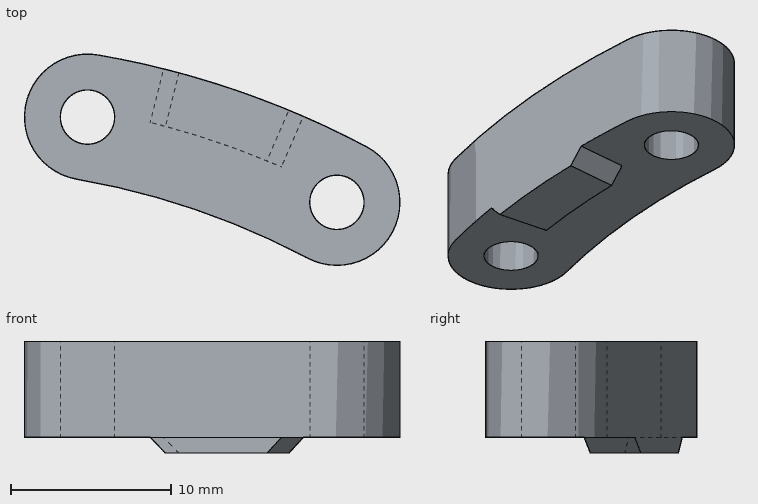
import cadquery as cq
import math

length_x = 23.47
width_y = 13.21
total_height = 7.0

plate_height = 6.0
end_radius = 3.95
hole_radius = 1.7
arc_radius = 52.34

pad_inner_radius = arc_radius + 0.5
pad_half_angle = 4.7
pad_shift_angle = -0.1
pad_height = total_height - plate_height

hole_step_x = length_x - 2 * end_radius
hole_step_y = width_y - 2 * end_radius
hole_distance = math.hypot(hole_step_x, hole_step_y)
tilt = math.degrees(math.atan2(hole_step_y, hole_step_x))
link_half_angle = math.degrees(math.asin(hole_distance / 2 / arc_radius))

inner_radius = arc_radius - end_radius
outer_radius = arc_radius + end_radius


def polar(radius, angle):
    """Point about the arc centre; the angle is in degrees clockwise from +Y."""
    turn = math.radians(angle)
    return radius * math.sin(turn), radius * math.cos(turn)


def make_plate():
    """Curved slot-shaped plate with its underside at Z = 0."""
    left, right = -link_half_angle, link_half_angle
    left_x, left_y = polar(arc_radius, left)
    step_x, step_y = polar(end_radius, left - 90)
    left_tip = (left_x + step_x, left_y + step_y)
    right_tip = (-left_tip[0], left_tip[1])
    return (
        cq.Workplane("XY")
        .moveTo(*polar(outer_radius, left))
        .threePointArc((0, outer_radius), polar(outer_radius, right))
        .threePointArc(right_tip, polar(inner_radius, right))
        .threePointArc((0, inner_radius), polar(inner_radius, left))
        .threePointArc(left_tip, polar(outer_radius, left))
        .close()
        .extrude(plate_height)
        .pushPoints([polar(arc_radius, left), polar(arc_radius, right)])
        .circle(hole_radius)
        .cutThruAll()
    )


def make_pad():
    """Ring sector below the plate, flush with the outer wall, with 45 degree ends."""
    left, right = pad_shift_angle - pad_half_angle, pad_shift_angle + pad_half_angle
    pad = (
        cq.Workplane("XY")
        .moveTo(*polar(outer_radius, left))
        .threePointArc((0, outer_radius), polar(outer_radius, right))
        .lineTo(*polar(pad_inner_radius, right))
        .threePointArc((0, pad_inner_radius), polar(pad_inner_radius, left))
        .close()
        .extrude(-pad_height)
    )
    for side, end_angle in ((-1, left), (1, right)):
        cutter = (
            cq.Workplane("XZ")
            .polyline([(0, 0), (-side * pad_height, -pad_height), (side * pad_height, -pad_height)])
            .close()
            .extrude(-2 * outer_radius)
            .rotate((0, 0, 0), (0, 0, 1), -end_angle)
        )
        pad = pad.cut(cutter)
    return pad


tilted = make_plate().union(make_pad()).rotate((0, 0, 0), (0, 0, 1), -tilt)
middle_x, middle_y = polar(arc_radius * math.cos(math.radians(link_half_angle)), tilt)
result = tilted.translate((-middle_x, -middle_y, 0))